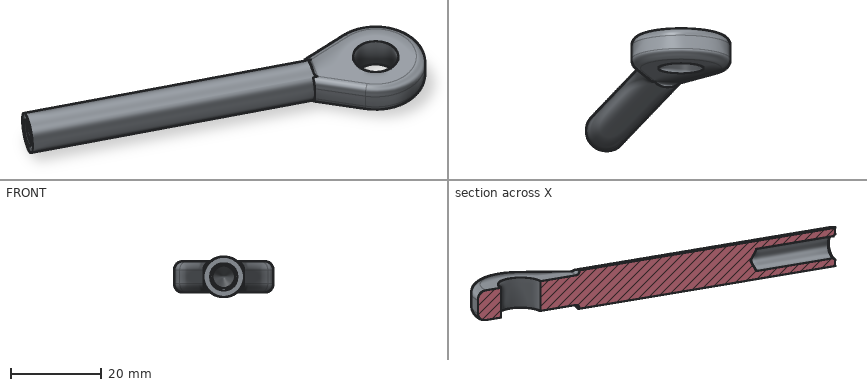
import cadquery as cq
import math

total_length = 91.0

eye_radius = 11.0
eye_thickness = 7.0
eye_hole_diameter = 10.0
eye_edge_radius = 2.0

shank_diameter = 9.0
shank_start = -14.8
neck_end = -15.2
shoulder_fillet = 0.7

bore_diameter = 5.0
bore_mouth_diameter = 6.0
bore_depth = 20.0
drill_point_angle = 118.0

shank_end = eye_radius - total_length
half_thickness = eye_thickness / 2
shank_radius = shank_diameter / 2


def tangent_point():
    """Point on the +X side where a flank leaves the eye's round end."""
    neck_distance = math.hypot(shank_radius, neck_end)
    angle = math.atan2(neck_end, shank_radius) + math.acos(eye_radius / neck_distance)
    return eye_radius * math.cos(angle), eye_radius * math.sin(angle)


def make_eye():
    """Teardrop plate with rounded outer edges."""
    flank_x, flank_y = tangent_point()
    outline = (
        cq.Workplane("XY")
        .workplane(offset=-half_thickness)
        .moveTo(shank_radius, neck_end)
        .lineTo(flank_x, flank_y)
        .threePointArc((0, eye_radius), (-flank_x, flank_y))
        .lineTo(-shank_radius, neck_end)
        .close()
    )
    plate = outline.extrude(eye_thickness)
    return plate.faces("|Z").edges("not <Y").fillet(eye_edge_radius)


def shank_cylinder(start, end):
    """Length of shank-sized round bar between two Y positions."""
    return cq.Workplane("XZ", origin=(0, start, 0)).circle(shank_radius).extrude(start - end)


def make_shoulder_blends():
    """Concave blends above and below the eye, trimmed to the shank's round section."""
    blend_start = shank_start + shoulder_fillet
    blend_top = half_thickness + shoulder_fillet
    bend = shoulder_fillet * math.sqrt(0.5)
    upper = (
        cq.Workplane("YZ", origin=(-shank_radius, 0, 0))
        .moveTo(blend_start, half_thickness)
        .threePointArc((blend_start - bend, blend_top - bend), (shank_start, blend_top))
        .lineTo(shank_start, 0)
        .lineTo(blend_start, 0)
        .close()
        .extrude(2 * shank_radius)
    )
    both = upper.union(upper.mirror("XY"))
    return both.intersect(shank_cylinder(blend_start, shank_start))


def make_bore():
    """Drilled hole with a countersunk mouth and a conical bottom, as a solid of revolution."""
    bore_radius = bore_diameter / 2
    mouth_radius = bore_mouth_diameter / 2
    countersink_depth = mouth_radius - bore_radius
    point_length = bore_radius / math.tan(math.radians(drill_point_angle / 2))
    return (
        cq.Workplane("XY")
        .moveTo(0, shank_end)
        .lineTo(mouth_radius, shank_end)
        .lineTo(bore_radius, shank_end + countersink_depth)
        .lineTo(bore_radius, shank_end + bore_depth)
        .lineTo(0, shank_end + bore_depth + point_length)
        .close()
        .revolve(360, (0, 0, 0), (0, 1, 0))
    )


def make_eye_hole():
    """Plain round hole through the thickness of the eye."""
    bottom_plane = cq.Workplane("XY").workplane(offset=-half_thickness)
    return bottom_plane.circle(eye_hole_diameter / 2).extrude(eye_thickness)


result = (
    make_eye()
    .union(shank_cylinder(shank_start, shank_end))
    .union(make_shoulder_blends())
    .cut(make_eye_hole())
    .cut(make_bore())
)